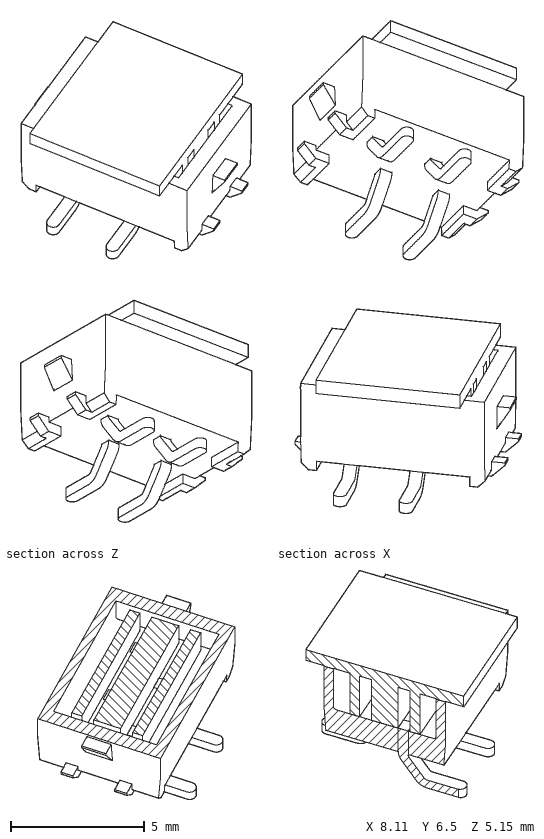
import cadquery as cq
import math

recess_z = 1.395
foot_z = 1.0
draft_z = 2.595
housing_top_z = 4.6
cap_top_z = 5.15

housing_length = 7.105
housing_width = 5.03
housing_base_width = 4.82
foot_inner_x = 2.96
foot_inner_y = 0.85
foot_chamfer = 0.28
cavity_width = 4.19
cavity_floor_z = draft_z
cavity_floor_radius = 0.105

snap_reach_x = 4.055
peg_top_z = 3.5
peg_tip_z = 3.41
peg_top_width = 0.99
peg_base_width = 1.1
hook_top_z = 1.605
hook_tip_z = 1.49
hook_width = 0.495

cap_length = 5.555
cap_width = 6.5
middle_rib_width = 1.1
outer_rib_inner_y = 1.03
outer_rib_outer_y = 1.45

pin_count = 4
pin_pitch = 1.27
pin_width = 0.5
pin_thickness = 0.42
pin_shank_y = 0.755
pin_lean = 37.5
pin_inner_radius = 0.18
pin_tip_y = cap_width / 2

half_length = housing_length / 2
ENDS = (-1, 1)


def box(x_range, y_range, z_range):
    """Block between the given limits on each axis."""
    (x0, x1), (y0, y1), (z0, z1) = x_range, y_range, z_range
    block = cq.Workplane("XY").box(x1 - x0, y1 - y0, z1 - z0, centered=False)
    return block.translate((x0, y0, z0))


def mirrored_range(side, near, far):
    """Limits from near to far on the chosen side of zero."""
    return sorted((side * near, side * far))


def housing_block():
    """Solid block: upright upper walls, tapered lower walls, chamfered lower end edges."""
    top_y = housing_width / 2
    base_y = housing_base_width / 2
    section = [
        (-base_y, foot_z),
        (base_y, foot_z),
        (top_y, draft_z),
        (top_y, housing_top_z),
        (-top_y, housing_top_z),
        (-top_y, draft_z),
    ]
    block = cq.Workplane("YZ").polyline(section).close().extrude(half_length, both=True)
    return block.faces("<Z").edges("|Y").chamfer(foot_chamfer)


def underside_recess():
    """Cross-shaped clearance that leaves a foot at each corner."""
    heights = (foot_z, recess_z)
    across = box((-foot_inner_x, foot_inner_x), (-housing_width / 2, housing_width / 2), heights)
    along = box((-half_length, half_length), (-foot_inner_y, foot_inner_y), heights)
    return across.union(along)


def cavity():
    """Open-topped pocket with its long floor edges rounded."""
    pocket = box(
        (-foot_inner_x, foot_inner_x),
        (-cavity_width / 2, cavity_width / 2),
        (cavity_floor_z, housing_top_z),
    )
    return pocket.faces("<Z").edges("|X").fillet(cavity_floor_radius)


def peg(end):
    """Wedge in the middle of one end, slightly wider at its base."""
    side_profile = [
        (end * foot_inner_x, peg_top_z),
        (end * snap_reach_x, peg_top_z),
        (end * snap_reach_x, peg_tip_z),
        (end * half_length, draft_z),
        (end * foot_inner_x, draft_z),
    ]
    end_profile = [
        (-peg_base_width / 2, draft_z),
        (peg_base_width / 2, draft_z),
        (peg_top_width / 2, peg_top_z),
        (-peg_top_width / 2, peg_top_z),
    ]
    wedge = cq.Workplane("XZ").polyline(side_profile).close().extrude(peg_base_width, both=True)
    trim = cq.Workplane("YZ").polyline(end_profile).close().extrude(snap_reach_x, both=True)
    return wedge.intersect(trim)


def hook(end, side):
    """Snap hook at the inner edge of one foot."""
    profile = [
        (end * foot_inner_x, hook_top_z),
        (end * snap_reach_x, hook_top_z),
        (end * snap_reach_x, hook_tip_z),
        (end * half_length, foot_z),
        (end * foot_inner_x, foot_z),
    ]
    middle_y = side * (foot_inner_y + hook_width / 2)
    blade = cq.Workplane("XZ").polyline(profile).close().extrude(hook_width / 2, both=True)
    return blade.translate((0, middle_y, 0))


def pin_places():
    """X position and Y direction of each pin; neighbours point opposite ways."""
    first_x = -pin_pitch * (pin_count - 1) / 2
    return [(first_x + i * pin_pitch, -1 if i % 2 == 0 else 1) for i in range(pin_count)]


def pin_socket(x, side):
    """Hole for one pin shank through the cavity floor."""
    near_y = pin_shank_y - pin_thickness / 2
    return box(
        (x - pin_width / 2, x + pin_width / 2),
        mirrored_range(side, near_y, near_y + pin_thickness),
        (recess_z, cavity_floor_z),
    )


def make_housing():
    body = housing_block().cut(underside_recess())
    for end in ENDS:
        body = body.union(peg(end))
        for side in ENDS:
            body = body.union(hook(end, side))
    body = body.cut(cavity())
    for x, side in pin_places():
        body = body.cut(pin_socket(x, side))
    return body


def make_cap():
    """Flat plate carrying three ribs that stand on the cavity floor."""
    x_range = (-cap_length / 2, cap_length / 2)
    rib_heights = (cavity_floor_z, housing_top_z)
    plate = box(x_range, (-cap_width / 2, cap_width / 2), (housing_top_z, cap_top_z))
    middle_rib = box(x_range, (-middle_rib_width / 2, middle_rib_width / 2), rib_heights)
    cap_body = plate.union(middle_rib)
    for side in ENDS:
        rib_y = mirrored_range(side, outer_rib_inner_y, outer_rib_outer_y)
        cap_body = cap_body.union(box(x_range, rib_y, rib_heights))
    return cap_body


def make_pin(x, side):
    """Bent strip: upright shank, sloping leg and flat foot with a round end."""
    half_thickness = pin_thickness / 2
    outer_radius = pin_inner_radius + pin_thickness
    lean = math.radians(pin_lean)
    upper_miter = math.tan(lean / 2)
    lower_miter = math.tan((math.pi / 2 - lean) / 2)

    upper_z = recess_z - (pin_inner_radius + half_thickness) * upper_miter
    lower_y = pin_shank_y + (upper_z - half_thickness) * math.tan(lean)

    near_y = pin_shank_y - half_thickness
    far_y = pin_shank_y + half_thickness
    upper_outer = (near_y, upper_z - half_thickness * upper_miter)
    upper_inner = (far_y, upper_z + half_thickness * upper_miter)
    lower_outer = (lower_y - half_thickness * lower_miter, 0)
    lower_inner = (lower_y + half_thickness * lower_miter, pin_thickness)
    outline = [
        (near_y, cavity_floor_z),
        upper_outer,
        lower_outer,
        (pin_tip_y, 0),
        (pin_tip_y, pin_thickness),
        lower_inner,
        upper_inner,
        (far_y, cavity_floor_z),
    ]
    strip = cq.Workplane("YZ").polyline(outline).close().extrude(pin_width / 2, both=True)
    for corner, radius in (
        (upper_outer, outer_radius),
        (lower_outer, outer_radius),
        (upper_inner, pin_inner_radius),
        (lower_inner, pin_inner_radius),
    ):
        strip = strip.edges(cq.selectors.NearestToPointSelector((0, *corner))).fillet(radius)

    round_center_y = pin_tip_y - pin_width / 2
    half_width = pin_width / 2
    heights = (0, pin_thickness)
    end_block = box((-half_width, half_width), (round_center_y, pin_tip_y), heights)
    end_round = cq.Workplane("XY").center(0, round_center_y).circle(half_width).extrude(pin_thickness)
    strip = strip.cut(end_block.cut(end_round))

    turn = 0 if side > 0 else 180
    return strip.rotate((0, 0, 0), (0, 0, 1), turn).translate((x, 0, 0))


housing = make_housing()
cap = make_cap()
pins = [make_pin(x, side) for x, side in pin_places()]

result = cq.Compound.makeCompound([housing.val(), cap.val(), *[pin.val() for pin in pins]])